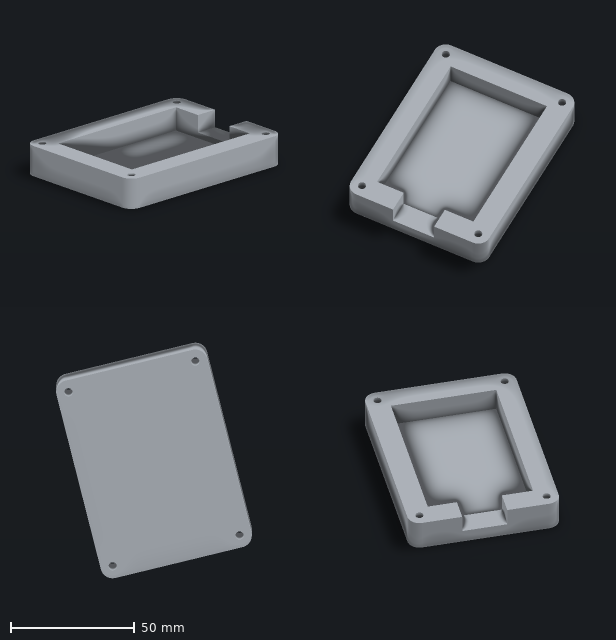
import cadquery as cq

width = 62.9
length = 84.3
height = 13.0
corner_radius = 5.0

wall = 9.5
pocket_width = width - 2 * wall
pocket_length = length - 2 * wall
floor = 3.0

notch_width = 18.7
notch_left = -8.9
notch_depth = 7.5

hole_diameter = 3.4
hole_spacing_x = width - 2 * corner_radius
hole_spacing_y = length - 2 * corner_radius


def make_block():
    block = cq.Workplane("XY").box(width, length, height, centered=(True, True, False))
    return block.edges("|Z").fillet(corner_radius)


def make_pocket():
    return (
        cq.Workplane("XY", origin=(0, 0, floor))
        .box(pocket_width, pocket_length, height - floor, centered=(True, True, False))
    )


def make_notch():
    corner = (notch_left, pocket_length / 2, height - notch_depth)
    return cq.Workplane("XY", origin=corner).box(notch_width, wall, notch_depth, centered=False)


def make_screw_holes():
    return (
        cq.Workplane("XY")
        .rect(hole_spacing_x, hole_spacing_y, forConstruction=True)
        .vertices()
        .circle(hole_diameter / 2)
        .extrude(height)
    )


result = make_block().cut(make_pocket()).cut(make_notch()).cut(make_screw_holes())